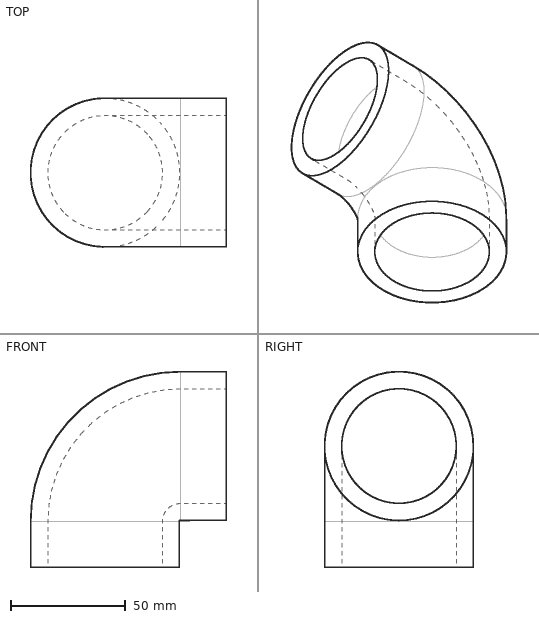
import cadquery as cq

OUTER_DIAMETER = 65.0
BORE_DIAMETER = 50.0
OVERALL_LENGTH = 85.5
COLLAR_LENGTH = 20.25
BEND_ANGLE = 90.0

BEND_RADIUS = OVERALL_LENGTH - COLLAR_LENGTH - OUTER_DIAMETER / 2


def elbow(diameter):
    """Solid round bar: up along Z, a quarter bend, then out along +X.

    The lower end is centred on the origin in the XY plane.
    """
    radius = diameter / 2
    lower = cq.Workplane("XY").circle(radius).extrude(COLLAR_LENGTH)

    bend = (
        cq.Workplane("XY", origin=(0, 0, COLLAR_LENGTH))
        .circle(radius)
        .revolve(BEND_ANGLE, (BEND_RADIUS, 0), (BEND_RADIUS, 1))
    )

    upper = (
        cq.Workplane("YZ", origin=(BEND_RADIUS, 0, COLLAR_LENGTH + BEND_RADIUS))
        .circle(radius)
        .extrude(COLLAR_LENGTH)
    )
    return lower.union(bend).union(upper)


result = elbow(OUTER_DIAMETER).cut(elbow(BORE_DIAMETER))